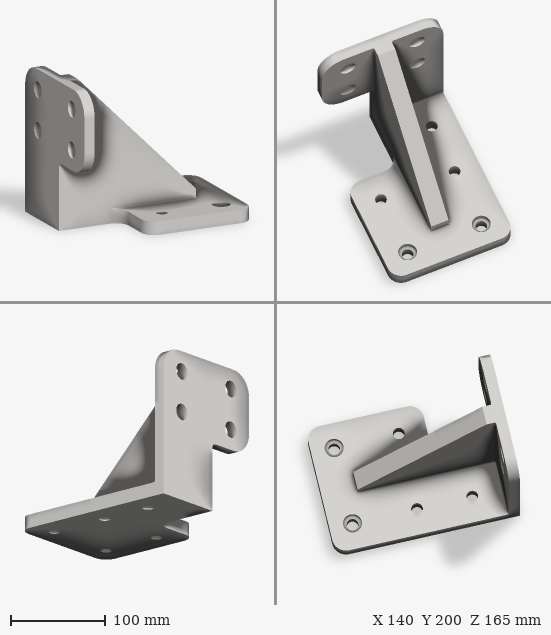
import cadquery as cq
import math

width = 140.0
depth = 200.0
height = 165.0
base_thickness = 15.0
plate_thickness = 12.0

narrow_width = 80.0
step_depth = 75.0
step_height = 75.0
base_corner_radius = 15.0
plate_corner_radius = 25.0
plate_step_radius = 5.0

rib_thickness = 20.0
rib_left = narrow_width - rib_thickness
rib_end = 162.0
rib_top_depth = 22.0
rib_end_height = height - (rib_end - rib_top_depth)
rib_fillet_radius = 2.0

base_hole_diameter = 12.5
counterbore_diameter = 20.0
counterbore_depth = 5.0
base_hole_left = 28.0
base_hole_right = 113.0
base_hole_rear = 175.0
base_hole_middle = 105.0
base_hole_front = 45.0
plate_hole_diameter = 18.0
plate_hole_left = 30.0
plate_hole_right = 110.0
plate_hole_spacing = 45.0
plate_hole_center = (height + step_height) / 2


def stepped_plate(length, step, corner_radius, step_radius, thickness):
    """Flat plate lying on XY, notched at the lower right, with rounded outer and inner corners."""
    plate = (
        cq.Workplane("XY")
        .polyline([(0, 0), (narrow_width, 0), (narrow_width, step), (width, step), (width, length), (0, length)])
        .close()
        .extrude(thickness)
    )
    plate = plate.edges("|Z and (>Y or >X)").fillet(corner_radius)
    inner_corner = cq.NearestToPointSelector((narrow_width, step, thickness / 2))
    return plate.edges(inner_corner).fillet(step_radius)


def base_plate(thickness):
    return stepped_plate(depth, step_depth, base_corner_radius, base_corner_radius, thickness)


def upright_plate(thickness):
    flat = stepped_plate(height, step_height, plate_corner_radius, plate_step_radius, thickness)
    return flat.rotate((0, 0, 0), (1, 0, 0), 90).translate((0, thickness, 0))


def corner_fillet(plane, corner, u_side, v_side, length):
    """Concave fillet strip along a corner, lying on its u_side and v_side (+1 or -1)."""
    u, v = corner
    radius = rib_fillet_radius
    return (
        cq.Workplane(plane)
        .moveTo(u, v)
        .lineTo(u + u_side * radius, v)
        .threePointArc(
            (u + u_side * radius * arc_middle, v + v_side * radius * arc_middle),
            (u, v + v_side * radius),
        )
        .close()
        .extrude(length)
    )


arc_middle = 1 - math.sqrt(0.5)

rib = (
    cq.Workplane("YZ", origin=(rib_left, 0, 0))
    .polyline([(0, 0), (rib_end, 0), (rib_end, rib_end_height), (rib_top_depth, height), (0, height)])
    .close()
    .extrude(rib_thickness)
)
result = base_plate(base_thickness).union(upright_plate(plate_thickness)).union(rib)

result = result.union(corner_fillet("XZ", (rib_left, base_thickness), -1, 1, -rib_end))
result = result.union(corner_fillet("XY", (rib_left, plate_thickness), -1, 1, height))
result = result.union(corner_fillet("YZ", (plate_thickness, base_thickness), 1, 1, rib_left))

right_base_fillet = corner_fillet("XZ", (narrow_width, base_thickness), 1, 1, -rib_end)
right_plate_fillet = corner_fillet("XY", (narrow_width, plate_thickness), 1, 1, height)
result = result.union(right_base_fillet.intersect(base_plate(height)))
result = result.union(right_plate_fillet.intersect(upright_plate(depth)))

rear_holes = [(base_hole_left, base_hole_rear), (base_hole_right, base_hole_rear)]
result = (
    result.copyWorkplane(cq.Workplane("XY", origin=(0, 0, base_thickness)))
    .pushPoints(rear_holes)
    .cboreHole(base_hole_diameter, counterbore_diameter, counterbore_depth, base_thickness)
)

plain_holes = [
    (base_hole_left, base_hole_middle),
    (base_hole_right, base_hole_middle),
    (base_hole_left, base_hole_front),
]
result = (
    result.copyWorkplane(cq.Workplane("XY", origin=(0, 0, base_thickness)))
    .pushPoints(plain_holes)
    .hole(base_hole_diameter, base_thickness)
)

plate_holes = [
    (x, plate_hole_center + side * plate_hole_spacing / 2)
    for x in (plate_hole_left, plate_hole_right)
    for side in (-1, 1)
]
result = (
    result.copyWorkplane(cq.Workplane("XZ"))
    .pushPoints(plate_holes)
    .hole(plate_hole_diameter, plate_thickness)
)